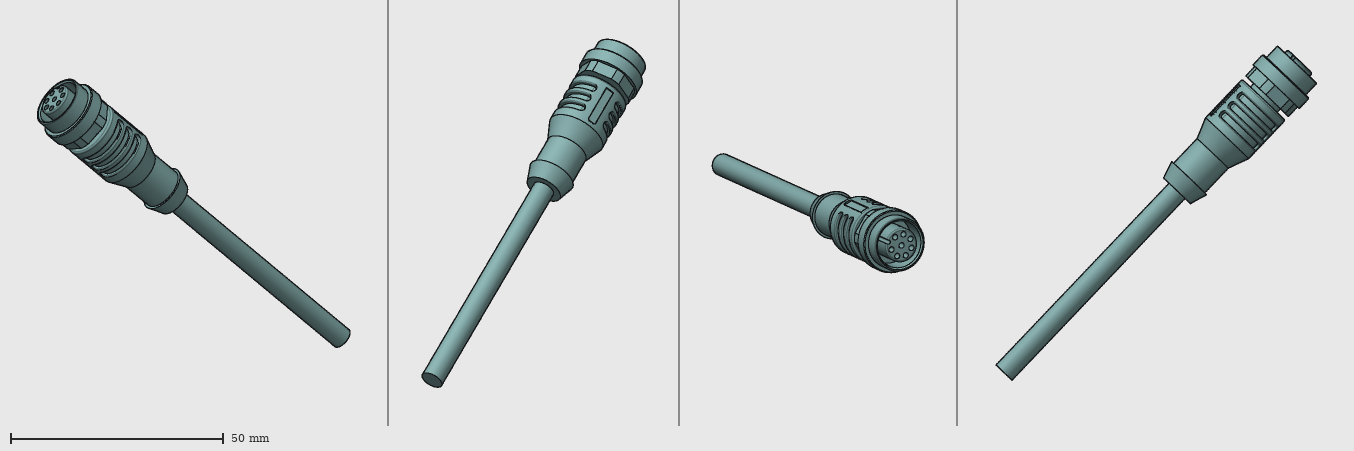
import cadquery as cq
import math

tilt_angle = 45.0

cable_diameter = 5.2
boot_end_diameter = 8.8
boot_lip_diameter = 11.4
neck_diameter = 10.2
grip_diameter = 14.0
groove_floor_diameter = 12.3
spindle_diameter = 8.7
nut_diameter = 14.0
nut_across_flats = 13.1
collar_diameter = 15.0
sleeve_diameter = 12.8
sleeve_bore_diameter = 11.25
insert_diameter = 8.0

cable_length = 59.0
boot_length = 4.15
neck_length = 8.0
shoulder_length = 4.9
grip_length = 12.5
gap_length = 1.15
nut_length = 3.1
collar_length = 3.4
sleeve_length = 3.8
insert_overhang = 1.0
bore_depth = 6.15

boot_lip_z = cable_length + boot_length
shoulder_z = boot_lip_z + neck_length
grip_z = shoulder_z + shoulder_length
grip_end_z = grip_z + grip_length
nut_z = grip_end_z + gap_length
collar_z = nut_z + nut_length
sleeve_z = collar_z + collar_length
rim_z = sleeve_z + sleeve_length
mating_z = rim_z + insert_overhang

grip_edge_radius = 0.5
collar_chamfer = 0.2
rim_edge_radius = 0.15
rim_inner_chamfer = 0.4
insert_edge_radius = 0.4
groove_width = 1.6
groove_mouth_radius = 0.3
groove_pitch = 3.0
groove_count = 3
first_groove_offset = 3.3
groove_half_angle = 58.0
panel_width = 2.1
panel_length = 9.85
panel_depth = 0.4
panel_corner_radius = 0.5
panel_offset = 1.15
contact_diameter = 1.3
contact_depth = 3.85
contact_circle_radius = 2.7
contact_pitch_angle = 48.5
outer_contact_count = 7
key_angle = 135.0
key_width = 0.9
key_depth = 0.9

cutter_margin = 0.8


def turned(shape, angle):
    """The shape turned about the connector axis."""
    return shape.rotate((0, 0, 0), (0, 0, 1), angle)


def cylinder(diameter, bottom, top):
    return cq.Workplane("XY").workplane(offset=bottom).circle(diameter / 2).extrude(top - bottom)


def cone(bottom_diameter, top_diameter, bottom, top):
    profile = [(0, bottom), (bottom_diameter / 2, bottom), (top_diameter / 2, top), (0, top)]
    return cq.Workplane("XZ").polyline(profile).close().revolve(360, (0, 0), (0, 1))


def groove_half_section(center_z):
    """The upper half of a groove's cross-section, with a rounded edge at the mouth."""
    floor_radius = groove_floor_diameter / 2
    mouth_radius = grip_diameter / 2
    cutter_radius = mouth_radius + cutter_margin
    half_width = groove_width / 2
    mouth_half_width = half_width + groove_mouth_radius
    wall_end = mouth_radius - groove_mouth_radius
    diagonal = groove_mouth_radius * math.sqrt(0.5)
    return (
        cq.Workplane("XZ", origin=(0, 0, center_z))
        .moveTo(floor_radius, 0)
        .lineTo(floor_radius, half_width)
        .lineTo(wall_end, half_width)
        .threePointArc((wall_end + diagonal, mouth_half_width - diagonal), (mouth_radius, mouth_half_width))
        .lineTo(cutter_radius, mouth_half_width)
        .lineTo(cutter_radius, 0)
        .close()
    )


def grip_groove(center_z):
    """A groove around the +X flank with round ends."""
    upper_half = groove_half_section(center_z).revolve(2 * groove_half_angle, (0, 0), (0, 1))
    upper_half = turned(upper_half, -groove_half_angle)
    groove = upper_half.union(upper_half.mirror("XY", (0, 0, center_z)))
    round_end = groove_half_section(center_z).revolve(360, (0, 0), (1, 0))
    for end_angle in (-groove_half_angle, groove_half_angle):
        groove = groove.union(turned(round_end, end_angle))
    return groove


def grip_panel():
    """A shallow flat-floored recess on the +Y side of the grip, rounded at its cable end."""
    panel = cq.Workplane("XY").box(
        panel_width, panel_depth + cutter_margin, panel_length, centered=(True, False, False)
    )
    panel = panel.faces("<Z").edges("|Y").fillet(panel_corner_radius)
    return panel.translate((0, grip_diameter / 2 - panel_depth, grip_z + panel_offset))


def make_boot_and_grip():
    body = cone(boot_end_diameter, boot_lip_diameter, cable_length, boot_lip_z)
    body = body.union(cylinder(neck_diameter, boot_lip_z, shoulder_z))
    body = body.union(cone(neck_diameter, grip_diameter, shoulder_z, grip_z))
    grip = cylinder(grip_diameter, grip_z, grip_end_z)
    grip = grip.faces(">Z").edges().fillet(grip_edge_radius)
    body = body.union(grip)
    for side_angle in (0, 180):
        body = body.cut(turned(grip_panel(), side_angle))
        for index in range(groove_count):
            groove = grip_groove(grip_z + first_groove_offset + index * groove_pitch)
            body = body.cut(turned(groove, side_angle))
    return body


def make_nut():
    """A hexagon with rounded corners and two of its flats facing -X and +X."""
    hexagon = (
        cq.Workplane("XY")
        .workplane(offset=nut_z)
        .polygon(6, nut_across_flats, circumscribed=True)
        .extrude(nut_length)
    )
    return hexagon.intersect(cylinder(nut_diameter, nut_z, collar_z))


def make_coupling():
    coupling = cylinder(spindle_diameter, grip_end_z, nut_z).union(make_nut())
    collar = cylinder(collar_diameter, collar_z, sleeve_z).faces(">Z").chamfer(collar_chamfer)
    coupling = coupling.union(collar)
    sleeve = cylinder(sleeve_diameter, sleeve_z, rim_z).faces(">Z").edges().fillet(rim_edge_radius)
    coupling = coupling.union(sleeve)
    coupling = coupling.cut(cylinder(sleeve_bore_diameter, rim_z - bore_depth, rim_z))
    rim_diameter = sleeve_bore_diameter + 2 * rim_inner_chamfer
    return coupling.cut(cone(sleeve_bore_diameter, rim_diameter, rim_z - rim_inner_chamfer, rim_z))


def make_insert():
    """The contact carrier, with a ring of contacts around a central one and a key groove."""
    floor_z = rim_z - bore_depth
    insert = cylinder(insert_diameter, floor_z, mating_z).faces(">Z").edges().fillet(insert_edge_radius)
    contact_points = [(0, 0)]
    first_angle = key_angle + (360 - (outer_contact_count - 1) * contact_pitch_angle) / 2
    for index in range(outer_contact_count):
        angle = math.radians(first_angle + index * contact_pitch_angle)
        contact_x = contact_circle_radius * math.cos(angle)
        contact_y = contact_circle_radius * math.sin(angle)
        contact_points.append((contact_x, contact_y))
    contacts = (
        cq.Workplane("XY")
        .workplane(offset=mating_z - contact_depth)
        .pushPoints(contact_points)
        .circle(contact_diameter / 2)
        .extrude(contact_depth)
    )
    key_groove = (
        cq.Workplane("XY")
        .workplane(offset=floor_z)
        .center(insert_diameter / 2, 0)
        .slot2D(2 * key_depth, key_width)
        .extrude(mating_z - floor_z)
    )
    return insert.cut(contacts).cut(turned(key_groove, key_angle))


cable = cylinder(cable_diameter, 0, cable_length)
upright = cable.union(make_boot_and_grip()).union(make_coupling()).union(make_insert())
result = upright.rotate((0, 0, 0), (1, 0, 0), tilt_angle)